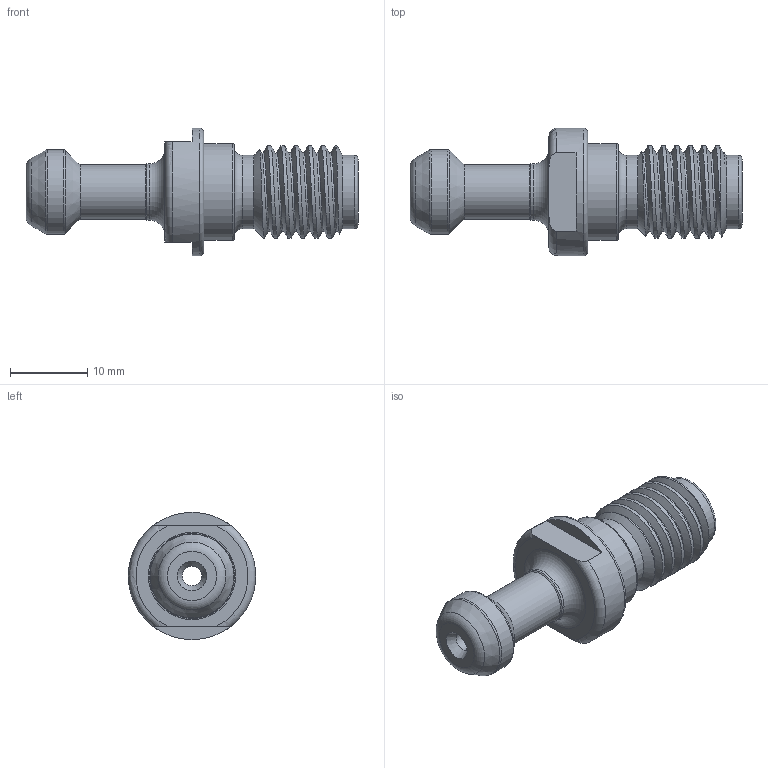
import cadquery as cq
import math


def rise(length, angle):
    """Height gained over a length by a line sloped at an angle in degrees."""
    return length * math.tan(math.radians(angle))


head_cone_end = 2.6
head_rear = 5.0
collar_start = 15.5
flange_front = 18.0
flat_end = 21.5
flange_rear = 23.0
pilot_end = 27.0
relief_start = 28.0
thread_start = 29.5
thread_end = 41.0
total_length = 43.0

head_d = 11.0
stem_d = 7.0
collar_d = 7.3
flange_d = 16.5
pilot_d = 12.5
relief_d = 9.5
bore_d = 2.5
countersink_d = 3.8

across_flats = 13.0

head_face_angle = 30.0
head_face_round = 1.4
head_front_edge_round = 0.5
head_rear_edge_round = 0.3
flare_radius = 2.0
flange_front_round = 1.0
flange_rear_round = 0.5
pilot_edge_round = 0.25
relief_fillet = 1.0
tip_round = 0.5
countersink_angle = 30.0

thread_d = 12.0
pitch = 1.75
thread_root_d = 10.2
crest_flat = pitch / 4
flank_angle = 30.0
groove_overshoot = 0.2
crest_station = 31.5
thread_lead_in_angle = 45.0
thread_end_angle = 60.0

head_r = head_d / 2
stem_r = stem_d / 2
collar_r = collar_d / 2
flange_r = flange_d / 2
pilot_r = pilot_d / 2
relief_r = relief_d / 2
thread_r = thread_d / 2
head_face_r = head_r - rise(head_cone_end, head_face_angle)


def make_body():
    """Revolve the sharp-edged outline without the thread, with two concave arcs, about X."""
    cos_45 = math.sqrt(0.5)
    flare_mid = (
        flange_front - flare_radius * (1 - cos_45),
        collar_r + flare_radius * (1 - cos_45),
    )
    relief_mid = (
        relief_start - relief_fillet * cos_45,
        relief_r + relief_fillet * (1 - cos_45),
    )
    outline = (
        cq.Workplane("XY")
        .moveTo(0, 0)
        .lineTo(0, head_face_r)
        .lineTo(head_cone_end, head_r)
        .lineTo(head_rear, head_r)
        .lineTo(head_rear + head_r - stem_r, stem_r)
        .lineTo(collar_start, stem_r)
        .lineTo(collar_start + collar_r - stem_r, collar_r)
        .lineTo(flange_front - flare_radius, collar_r)
        .threePointArc(flare_mid, (flange_front, collar_r + flare_radius))
        .lineTo(flange_front, flange_r)
        .lineTo(flange_rear, flange_r)
        .lineTo(flange_rear, pilot_r)
        .lineTo(pilot_end, pilot_r)
        .lineTo(pilot_end, relief_r + relief_fillet)
        .threePointArc(relief_mid, (relief_start, relief_r))
        .lineTo(total_length, relief_r)
        .lineTo(total_length, 0)
        .close()
    )
    return outline.revolve(360, (0, 0, 0), (1, 0, 0))


def round_edge(body, station, radius, size):
    """Fillet the circular edge of a given radius at a station along X."""
    tolerance = 1e-3

    def is_target(edge):
        if edge.geomType() != "CIRCLE":
            return False
        same_station = abs(edge.Center().x - station) < tolerance
        return same_station and abs(edge.radius() - radius) < tolerance

    return body.edges().filter(is_target).fillet(size)


def cut_flats(body):
    """Cut two parallel wrench flats into the front part of the flange."""
    depth = flange_r - across_flats / 2
    for side in (-1, 1):
        cutter = cq.Workplane("XY").box(
            flat_end - flange_front, flange_d, depth, centered=(False, True, True)
        )
        body = body.cut(cutter.translate((flange_front, 0, side * (flange_r - depth / 2))))
    return body


def cut_bore(body):
    """Drill the coolant bore through the axis with a countersink at the head."""
    bore_r = bore_d / 2
    countersink_r = countersink_d / 2
    countersink_depth = rise(countersink_r - bore_r, 90 - countersink_angle)
    tool = (
        cq.Workplane("XZ")
        .moveTo(0, 0)
        .lineTo(0, countersink_r)
        .lineTo(countersink_depth, bore_r)
        .lineTo(total_length, bore_r)
        .lineTo(total_length, 0)
        .close()
        .revolve(360, (0, 0, 0), (1, 0, 0))
    )
    return body.cut(tool)


def make_thread_groove():
    """Sweep the trapezoidal gap between thread crests along a right-hand helix."""
    root_r = thread_root_d / 2
    outer_r = thread_r + groove_overshoot
    root_half = (pitch - crest_flat) / 2 - rise(thread_r - root_r, flank_angle)
    outer_half = root_half + rise(outer_r - root_r, flank_angle)

    groove_start = crest_station - 2 * pitch
    turns = math.ceil((thread_end - groove_start) / pitch) + 1
    path = cq.Wire.makeHelix(
        pitch, turns * pitch, root_r, center=cq.Vector(0, 0, 0), dir=cq.Vector(0, 0, 1)
    )
    section = [
        (root_r, -root_half),
        (outer_r, -outer_half),
        (outer_r, outer_half),
        (root_r, root_half),
    ]
    groove = cq.Workplane("XZ").polyline(section).close().sweep(cq.Workplane(path), isFrenet=True)
    return groove.rotate((0, 0, 0), (0, 1, 0), 90).translate((groove_start, 0, 0))


def make_thread():
    """Make the thread: a grooved cylinder trimmed by a cone at each end."""
    height = thread_r - relief_r
    envelope = (
        cq.Workplane("XZ")
        .moveTo(thread_start, 0)
        .lineTo(thread_start, relief_r)
        .lineTo(thread_start + rise(height, 90 - thread_lead_in_angle), thread_r)
        .lineTo(thread_end - rise(height, 90 - thread_end_angle), thread_r)
        .lineTo(thread_end, relief_r)
        .lineTo(thread_end, 0)
        .close()
        .revolve(360, (0, 0, 0), (1, 0, 0))
    )
    blank = cq.Workplane("YZ", origin=(relief_start, 0, 0)).circle(thread_r)
    blank = blank.extrude(total_length - relief_start)
    return blank.cut(make_thread_groove()).intersect(envelope)


result = make_body()

rounded_edges = [
    (0, head_face_r, head_face_round),
    (head_cone_end, head_r, head_front_edge_round),
    (head_rear, head_r, head_rear_edge_round),
    (flange_front, flange_r, flange_front_round),
    (flange_rear, flange_r, flange_rear_round),
    (pilot_end, pilot_r, pilot_edge_round),
    (total_length, relief_r, tip_round),
]
for station, radius, size in rounded_edges:
    result = round_edge(result, station, radius, size)

result = cut_flats(result)
result = result.union(make_thread())
result = cut_bore(result)